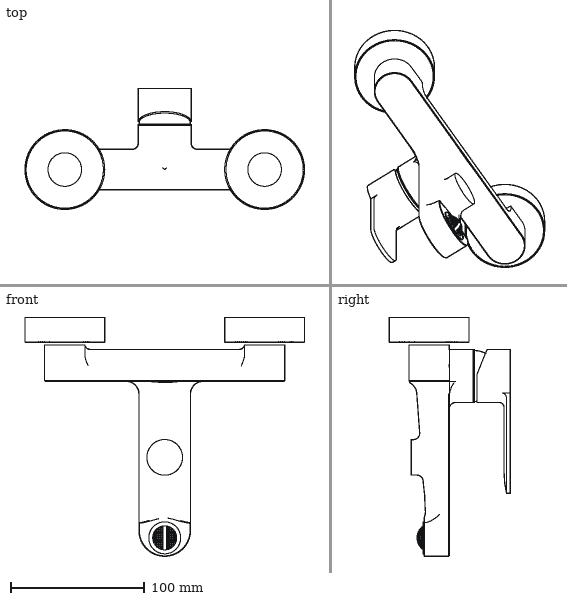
import cadquery as cq
import math

INLET_SPACING = 150.0
BAR_RADIUS = 15.25
BAR_BOTTOM = -4.0
INLET_TOP = 23.4
STUB_RADIUS = 20.0
BAR_AXIS_Z = STUB_RADIUS - BAR_RADIUS
INLET_INNER_X = 60.0
INLET_COVE_RADIUS = 4.0
EDGE_CHAMFER = 0.6

BACK_Y = BAR_RADIUS
STUB_END_Y = 33.0
STUB_FILLET = 4.6

SPOUT_RADIUS = 19.44
SPOUT_END_Z = -116.0
NECK_SPLIT_Y = 9.4
NECK_TOP_DEPTH = 19.4
NECK_BOTTOM_DEPTH = 11.6
NECK_BOTTOM_Z = -110.3
NECK_TOP_FILLET = 9.5
NECK_BOTTOM_FILLET = 8.0
TIP_FACE_Y = -3.8
TIP_CHAMFER = 0.4
FLARE_SIZE = 80.0

SELECT_MARGIN = 1.0

BUTTON_RADIUS = 13.4
BUTTON_Z = -61.1
BUTTON_FACE_Y = -13.5
BUTTON_FILLET = 4.5

AERATOR_Z = -121.5
AERATOR_RING_RADIUS = 12.0
AERATOR_RING_PROUD = 0.6
AERATOR_RING_FACE_Y = TIP_FACE_Y - AERATOR_RING_PROUD
AERATOR_SEAT_Y = 3.0
AERATOR_CORE_RADIUS = 9.0
AERATOR_CROWN = 4.7
GRID_PITCH = 1.6
GRID_SLOT_WIDTH = 0.6
GRID_BASE_PROUD = 0.8
GRID_SLOT_FLOOR_Y = AERATOR_RING_FACE_Y - GRID_BASE_PROUD
RIB_HALF_WIDTH = 1.4

COLLAR_THICKNESS = 1.2
COLLAR_CHAMFER = 0.5
COLLAR_END_Y = STUB_END_Y + COLLAR_THICKNESS
DOME_RADIUS = 19.3
DOME_CENTRE_Y = 33.5
HANDLE_RADIUS = STUB_RADIUS
HANDLE_BACK_Y = 61.01
HANDLE_BOTTOM_Y = 35.9
HANDLE_SLANT_TOP_Y = 43.5
HANDLE_SLANT_START_Z = 1.0
LEVER_RADIUS = 15.3
LEVER_END_Z = -72.9
LEVER_EDGE_THICKNESS = 2.9
LEVER_THICKNESS = 4.8
LEVER_FILLET = 3.5

ROSETTE_RADIUS = 30.0
ROSETTE_GAP = 1.6
ROSETTE_BOTTOM = INLET_TOP + ROSETTE_GAP
ROSETTE_TOP = 44.0
ROSETTE_WALL = 1.0
ROSETTE_FLOOR = 0.8
ROSETTE_HOLE_RADIUS = 12.6
ROSETTE_CHAMFER = 0.6


def box_between(x0, x1, y0, y1, z0, z1):
    return cq.Workplane("XY").box(x1 - x0, y1 - y0, z1 - z0, centered=False).translate((x0, y0, z0))


def cylinder_along_y(radius, y0, y1, z=0.0):
    return cq.Workplane("XZ", origin=(0, y0, z)).circle(radius).extrude(y0 - y1)


def inlet_bar():
    """Bar with a raised inlet at each end and a half-round top between them."""
    bar = (
        cq.Workplane("XY", origin=(0, 0, BAR_BOTTOM))
        .slot2D(INLET_SPACING + 2 * BAR_RADIUS, 2 * BAR_RADIUS)
        .extrude(INLET_TOP - BAR_BOTTOM)
        .faces("<Z")
        .chamfer(EDGE_CHAMFER)
    )
    clear_radius = 2 * BAR_RADIUS
    cove_x = INLET_INNER_X - INLET_COVE_RADIUS
    cove_r = BAR_RADIUS + INLET_COVE_RADIUS
    relief = (
        cq.Workplane("XY", origin=(0, 0, BAR_AXIS_Z))
        .moveTo(-cove_x, BAR_RADIUS)
        .lineTo(cove_x, BAR_RADIUS)
        .radiusArc((INLET_INNER_X, cove_r), -INLET_COVE_RADIUS)
        .lineTo(INLET_INNER_X, clear_radius)
        .lineTo(-INLET_INNER_X, clear_radius)
        .lineTo(-INLET_INNER_X, cove_r)
        .radiusArc((-cove_x, BAR_RADIUS), -INLET_COVE_RADIUS)
        .close()
        .revolve(180, (0, 0, 0), (1, 0, 0))
    )
    return bar.cut(relief)


def half_ellipse(z, depth):
    return (
        cq.Workplane("XY", origin=(0, NECK_SPLIT_Y, z))
        .ellipseArc(SPOUT_RADIUS, depth, 180, 360, startAtCurrent=False)
        .close()
        .wires()
        .val()
    )


def edge_band(z, reach):
    """Selector for edges whose centre lies at height z, within reach of the Z axis."""
    return cq.selectors.BoxSelector((-reach, -reach, z - SELECT_MARGIN), (reach, reach, z + SELECT_MARGIN))


def spout_front():
    """Rounded front of the neck, flared into the bar above and the tip below."""
    top_section = half_ellipse(BAR_BOTTOM, NECK_TOP_DEPTH)
    bottom_section = half_ellipse(NECK_BOTTOM_Z, NECK_BOTTOM_DEPTH)
    neck = cq.Workplane(cq.Solid.makeLoft([top_section, bottom_section], True))

    half = FLARE_SIZE / 2
    floor_z = SPOUT_END_Z - half
    top_block = box_between(-half, half, -half, NECK_SPLIT_Y, BAR_BOTTOM, -BAR_BOTTOM)
    tip_block = box_between(-half, half, -half, NECK_SPLIT_Y, floor_z, NECK_BOTTOM_Z)
    flared = neck.union(top_block).union(tip_block)
    flared = flared.edges(edge_band(BAR_BOTTOM, SPOUT_RADIUS)).edges("%ELLIPSE").fillet(NECK_TOP_FILLET)
    flared = flared.edges(edge_band(NECK_BOTTOM_Z, SPOUT_RADIUS)).edges("%ELLIPSE").fillet(NECK_BOTTOM_FILLET)

    bar_flat_y = EDGE_CHAMFER - BAR_RADIUS
    below_bar = box_between(-half, half, bar_flat_y, NECK_SPLIT_Y, floor_z, BAR_BOTTOM)
    tip_fillet_top = NECK_BOTTOM_Z + NECK_BOTTOM_FILLET
    front_of_tip = box_between(-half, half, -half, TIP_FACE_Y, floor_z, tip_fillet_top)
    beside_tip = box_between(-half, half, -half, NECK_SPLIT_Y, floor_z, tip_fillet_top)
    beside_tip = beside_tip.cut(spout_outline(-half, NECK_SPLIT_Y))
    front = flared.intersect(below_bar).cut(front_of_tip).cut(beside_tip)
    return front.faces(cq.NearestToPointSelector((0, TIP_FACE_Y, SPOUT_END_Z))).edges().chamfer(TIP_CHAMFER)


def spout_outline(y0, y1):
    """Straight-sided strip with a round lower end, extruded from y0 to y1."""
    straight = box_between(-SPOUT_RADIUS, SPOUT_RADIUS, y0, y1, SPOUT_END_Z, 0)
    return straight.union(cylinder_along_y(SPOUT_RADIUS, y0, y1, SPOUT_END_Z))


def spout_back():
    """Flat-backed strip of the spout with its flare under the bar."""
    strip = spout_outline(NECK_SPLIT_Y, BACK_Y).faces(">Y").edges("not >Z").chamfer(EDGE_CHAMFER)
    reach = SPOUT_RADIUS + NECK_TOP_FILLET
    flare = box_between(-reach, reach, NECK_SPLIT_Y, BACK_Y, BAR_BOTTOM - NECK_TOP_FILLET, BAR_BOTTOM)
    for side in (-1, 1):
        flare = flare.cut(
            cylinder_along_y(NECK_TOP_FILLET, NECK_SPLIT_Y, BACK_Y, BAR_BOTTOM - NECK_TOP_FILLET)
            .translate((side * reach, 0, 0))
        )
    return strip.union(flare)


def stub_root():
    """Cove ring where the lower half of the stub meets the flat back of the bar and spout."""
    root_radius = STUB_RADIUS + STUB_FILLET
    cove_end_y = BACK_Y + STUB_FILLET
    ring = (
        cq.Workplane("XY")
        .moveTo(0, BACK_Y)
        .lineTo(root_radius, BACK_Y)
        .radiusArc((STUB_RADIUS, cove_end_y), STUB_FILLET)
        .lineTo(0, cove_end_y)
        .close()
        .revolve(360, (0, 0, 0), (0, 1, 0))
    )
    behind_bar = box_between(-root_radius, root_radius, BACK_Y, cove_end_y, BAR_BOTTOM, BAR_AXIS_Z)
    behind_spout = spout_outline(BACK_Y, cove_end_y)
    return ring.intersect(behind_bar.union(behind_spout))


def bar_with_stub():
    """Bar and cartridge stub; the stub runs in to the bar's crest with a vanishing fillet."""
    upper_half = cylinder_along_y(STUB_RADIUS, 0, STUB_END_Y).intersect(
        box_between(-STUB_RADIUS, STUB_RADIUS, 0, STUB_END_Y, BAR_AXIS_Z, STUB_RADIUS)
    )
    crossing = cq.selectors.BoxSelector(
        (-STUB_RADIUS - SELECT_MARGIN, -SELECT_MARGIN, BAR_AXIS_Z - SELECT_MARGIN),
        (STUB_RADIUS + SELECT_MARGIN, BACK_Y + SELECT_MARGIN, STUB_RADIUS + SELECT_MARGIN),
        boundingbox=True,
    )
    bar = inlet_bar().union(upper_half).edges(crossing).edges("%BSPLINE").fillet(STUB_FILLET)
    rear = cylinder_along_y(STUB_RADIUS, BACK_Y - EDGE_CHAMFER, STUB_END_Y)
    return bar.union(rear).union(stub_root())


def add_button(spout):
    """Diverter button standing out of the neck, with a fillet around its foot."""
    button = cylinder_along_y(BUTTON_RADIUS, BUTTON_FACE_Y, NECK_SPLIT_Y, BUTTON_Z)
    reach = BUTTON_RADIUS + SELECT_MARGIN
    foot = cq.selectors.BoxSelector(
        (-reach, BUTTON_FACE_Y, BUTTON_Z - reach), (reach, NECK_SPLIT_Y, BUTTON_Z + reach), boundingbox=True
    )
    return spout.union(button).edges(foot).edges("%BSPLINE").fillet(BUTTON_FILLET)


def mixer_body():
    body = bar_with_stub().union(spout_back()).union(add_button(spout_front()))
    seat = cylinder_along_y(AERATOR_RING_RADIUS, -FLARE_SIZE, AERATOR_SEAT_Y, AERATOR_Z)
    return body.cut(seat)


def aerator_ring():
    ring = cylinder_along_y(AERATOR_RING_RADIUS, AERATOR_RING_FACE_Y, AERATOR_SEAT_Y, AERATOR_Z)
    bore = cylinder_along_y(AERATOR_CORE_RADIUS, AERATOR_RING_FACE_Y, AERATOR_SEAT_Y, AERATOR_Z)
    return ring.cut(bore)


def aerator_core():
    """Domed insert whose face is cut into a grid of pins beside an upright rib."""
    crown_radius = (AERATOR_CORE_RADIUS**2 + AERATOR_CROWN**2) / (2 * AERATOR_CROWN)
    crown_y = AERATOR_RING_FACE_Y - AERATOR_CROWN
    core = cylinder_along_y(AERATOR_CORE_RADIUS, crown_y, AERATOR_SEAT_Y, AERATOR_Z)
    core = core.intersect(
        cq.Workplane("XY")
        .sphere(crown_radius)
        .translate((0, crown_y + crown_radius, AERATOR_Z))
        .union(cylinder_along_y(AERATOR_CORE_RADIUS, AERATOR_RING_FACE_Y, AERATOR_SEAT_Y, AERATOR_Z))
    )
    reach = AERATOR_CORE_RADIUS
    half_slot = GRID_SLOT_WIDTH / 2
    slots_per_side = math.floor(reach / GRID_PITCH)
    slots = []
    for row in range(-slots_per_side, slots_per_side + 1):
        z = AERATOR_Z + row * GRID_PITCH
        for x0, x1 in ((-reach, -RIB_HALF_WIDTH), (RIB_HALF_WIDTH, reach)):
            slots.append(box_between(x0, x1, crown_y, GRID_SLOT_FLOOR_Y, z - half_slot, z + half_slot))
    z0 = AERATOR_Z - reach
    z1 = AERATOR_Z + reach
    for side in (-1, 1):
        for column in range(slots_per_side):
            x = side * (RIB_HALF_WIDTH + half_slot + column * GRID_PITCH)
            slots.append(box_between(x - half_slot, x + half_slot, crown_y, GRID_SLOT_FLOOR_Y, z0, z1))
    for slot in slots:
        core = core.cut(slot)
    return core


def collar():
    return cylinder_along_y(STUB_RADIUS, STUB_END_Y, COLLAR_END_Y).faces(">Y").chamfer(COLLAR_CHAMFER)


def cartridge_dome():
    ball = cq.Workplane("XY").sphere(DOME_RADIUS).translate((0, DOME_CENTRE_Y, 0))
    return ball.intersect(cylinder_along_y(DOME_RADIUS, COLLAR_END_Y, HANDLE_BACK_Y))


def lever():
    """Round-ended lever, flat behind and crowned in front."""
    front_y = HANDLE_BACK_Y - LEVER_THICKNESS
    blade = box_between(-LEVER_RADIUS, LEVER_RADIUS, front_y, HANDLE_BACK_Y, LEVER_END_Z, 0)
    blade = blade.union(cylinder_along_y(LEVER_RADIUS, front_y, HANDLE_BACK_Y, LEVER_END_Z))
    rise = LEVER_THICKNESS - LEVER_EDGE_THICKNESS
    crown_radius = (LEVER_RADIUS**2 + rise**2) / (2 * rise)
    crown_centre_y = front_y + crown_radius
    crown = cq.Workplane("XY", origin=(0, crown_centre_y, LEVER_END_Z)).circle(crown_radius)
    crown = crown.extrude(-LEVER_END_Z)
    end_crown = cq.Workplane("XY").sphere(crown_radius).translate((0, crown_centre_y, LEVER_END_Z))
    return blade.intersect(crown.union(end_crown))


def handle():
    """Cup over the cartridge dome, slanted at its top front, with the lever hanging from its back."""
    cup = cylinder_along_y(HANDLE_RADIUS, HANDLE_BOTTOM_Y, HANDLE_BACK_Y)
    slant = (
        cq.Workplane("YZ", origin=(-HANDLE_RADIUS, 0, 0))
        .moveTo(HANDLE_BOTTOM_Y, HANDLE_SLANT_START_Z)
        .lineTo(HANDLE_SLANT_TOP_Y, HANDLE_RADIUS)
        .lineTo(HANDLE_BOTTOM_Y, HANDLE_RADIUS)
        .close()
        .extrude(2 * HANDLE_RADIUS)
    )
    grip = cup.cut(slant).union(lever())
    front_y = HANDLE_BACK_Y - LEVER_THICKNESS
    joint = cq.selectors.BoxSelector(
        (-LEVER_RADIUS - SELECT_MARGIN, front_y - SELECT_MARGIN, -HANDLE_RADIUS - SELECT_MARGIN),
        (LEVER_RADIUS + SELECT_MARGIN, HANDLE_BACK_Y - SELECT_MARGIN, 0),
        boundingbox=True,
    )
    grip = grip.edges(joint).edges("%BSPLINE").fillet(LEVER_FILLET)
    return grip.cut(cartridge_dome())


def rosette(x):
    """Open-topped wall cup with a hole in its thin floor."""
    cup = cq.Workplane("XY", origin=(x, 0, ROSETTE_BOTTOM)).circle(ROSETTE_RADIUS)
    cup = cup.extrude(ROSETTE_TOP - ROSETTE_BOTTOM).faces("<Z").chamfer(ROSETTE_CHAMFER)
    floor_top = ROSETTE_BOTTOM + ROSETTE_FLOOR
    inside = cq.Workplane("XY", origin=(x, 0, floor_top)).circle(ROSETTE_RADIUS - ROSETTE_WALL)
    inside = inside.extrude(ROSETTE_TOP - floor_top)
    hole = cq.Workplane("XY", origin=(x, 0, ROSETTE_BOTTOM)).circle(ROSETTE_HOLE_RADIUS)
    hole = hole.extrude(ROSETTE_FLOOR)
    return cup.cut(inside).cut(hole)


body = mixer_body()
ring = aerator_ring()
core = aerator_core()
stub_collar = collar()
dome = cartridge_dome()
grip = handle()
rosettes = [rosette(side * INLET_SPACING / 2) for side in (-1, 1)]

bodies = [body, ring, core, stub_collar, dome, grip, *rosettes]
result = cq.Compound.makeCompound([solid for part in bodies for solid in part.solids().vals()])